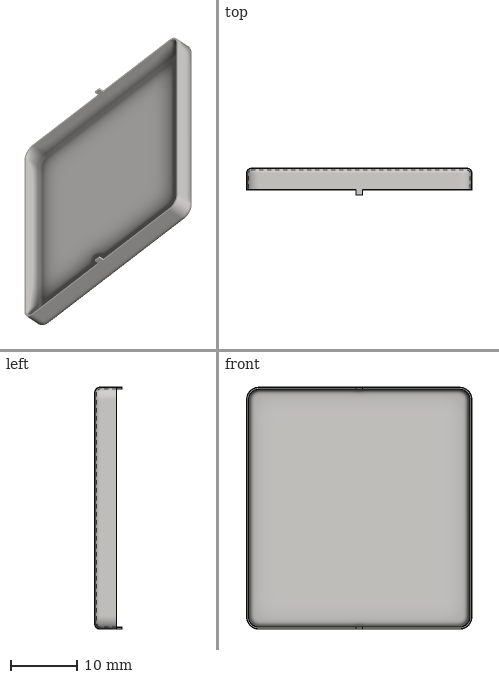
import cadquery as cq

width = 34.1
height = 36.6
depth = 3.3
wall = 0.3
corner_radius = 1.9
edge_radius = 0.8

tab_width = 1.0
tab_length = 0.8
tab_thickness = wall


def rounded_block(inset):
    """Block from the rim plane (Y = 0) toward +Y, inset on the sides and at the closed face."""
    block = cq.Workplane("XY").box(
        width - 2 * inset, depth - inset, height - 2 * inset, centered=(True, False, True)
    )
    block = block.edges("|Y").fillet(corner_radius - inset)
    return block.faces(">Y").edges().fillet(edge_radius - inset)


def tab(side):
    """Tab standing on the rim of the top (side = 1) or bottom (side = -1) wall."""
    center_z = side * (height - tab_thickness) / 2
    return cq.Workplane("XY").box(tab_width, tab_length, tab_thickness).translate(
        (0, -tab_length / 2, center_z)
    )


result = rounded_block(0).cut(rounded_block(wall))
for side in (-1, 1):
    result = result.union(tab(side))